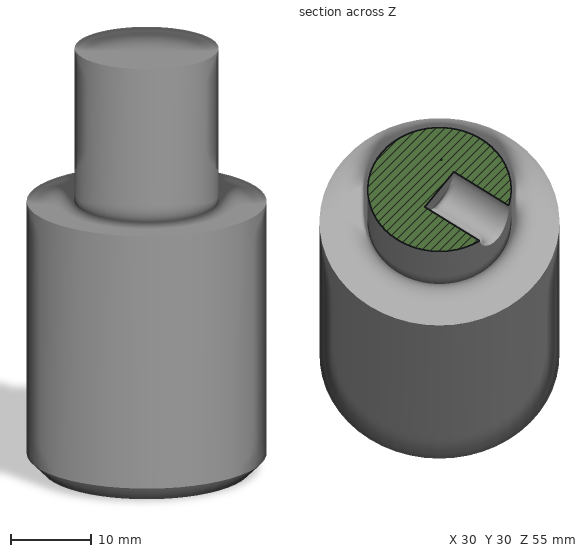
import cadquery as cq

body_diameter = 30.0
body_height = 35.0
body_chamfer = 2.0

pin_diameter = 18.0
pin_height = 20.0

hole_diameter = 6.2
hole_height_above_body = 8.0
hole_depth = pin_diameter / 2


def make_body():
    body = cq.Workplane("XY").circle(body_diameter / 2).extrude(body_height)
    return body.faces("<Z").edges().chamfer(body_chamfer)


def make_pin():
    return (
        cq.Workplane("XY", origin=(0, 0, body_height))
        .circle(pin_diameter / 2)
        .extrude(pin_height)
    )


def make_radial_hole():
    """Cutter running from the +Y side of the pin inward by the hole depth."""
    hole_center = (0, pin_diameter / 2, body_height + hole_height_above_body)
    return (
        cq.Workplane("XZ", origin=hole_center)
        .circle(hole_diameter / 2)
        .extrude(hole_depth)
    )


result = make_body().union(make_pin()).cut(make_radial_hole())